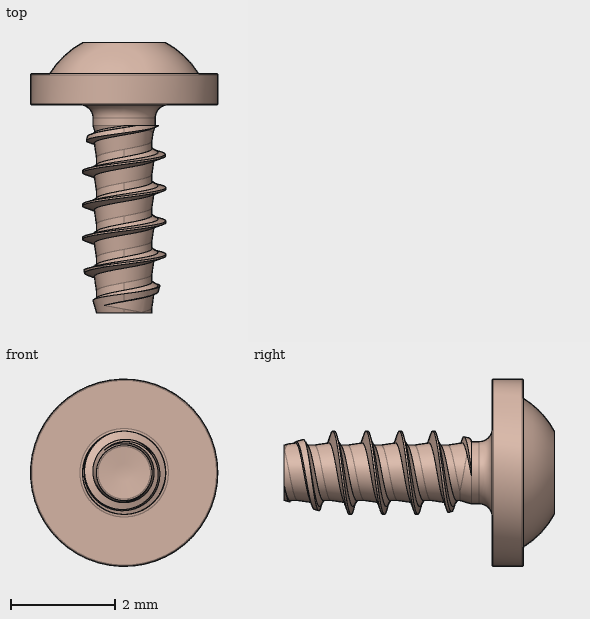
import cadquery as cq
import math


flange_radius = 1.8
flange_thickness = 0.6
flange_edge_radius = 0.025
head_height = 1.2
dome_base_radius = 1.43
dome_top_radius = 0.79

neck_radius = 0.6
neck_fillet = 0.25
neck_end = 0.4
neck_taper_end = 0.62

core_radius = 0.534
shank_length = 4.0
tip_dimple_radius = 0.505
tip_dimple_depth = 0.04

crest_radius = 0.8
envelope_start_radius = 0.66
run_in_end = 1.0
run_out_start = 3.1
envelope_tip_radius = 0.53

pitch = 0.64
first_crest_depth = 0.325
crest_half_width = 0.018
head_flank_knee_offset = 0.052
head_flank_knee_radius = 0.65
head_flank_foot_offset = 0.125
tip_flank_foot_offset = 0.092
tip_flank_foot_radius = 0.575
root_taper_end_offset = 0.39
root_taper_sink = 0.003
thread_sink = 0.05


def revolve_profile(profile):
    """Turn a closed (radius, depth) half section around the screw axis.

    The seam is set a quarter turn away from the thread's seam, so that the two never coincide.
    """
    turned = profile.close().revolve(360, (0, 0, 0), (0, 1, 0))
    return turned.rotate((0, 0, 0), (1, 0, 0), 90).rotate((0, 0, 0), (0, 0, 1), 90)


def make_head():
    """Round flange with softened edges, topped by a flattened spherical dome."""
    flange = cq.Workplane("XY").circle(flange_radius).extrude(-flange_thickness)
    flange = flange.edges().fillet(flange_edge_radius)

    dome_height = head_height - flange_thickness
    rim_difference = dome_base_radius**2 - dome_top_radius**2
    centre_height = flange_thickness + (dome_height**2 - rim_difference) / (2 * dome_height)
    sphere_radius = math.hypot(dome_base_radius, flange_thickness - centre_height)
    middle_height = flange_thickness + dome_height / 2
    middle_radius = math.sqrt(sphere_radius**2 - (middle_height - centre_height) ** 2)

    dome = revolve_profile(
        cq.Workplane("XY")
        .moveTo(0, 0)
        .lineTo(dome_base_radius, 0)
        .lineTo(dome_base_radius, -flange_thickness)
        .threePointArc((middle_radius, -middle_height), (dome_top_radius, -head_height))
        .lineTo(0, -head_height)
    )
    return flange.union(dome)


def make_core():
    """Filleted neck tapering into the plain core of the threaded shank."""
    fillet_rim = neck_radius + neck_fillet
    fillet_middle = neck_fillet * math.sqrt(0.5)
    embed = flange_thickness / 2
    return revolve_profile(
        cq.Workplane("XY")
        .moveTo(0, -embed)
        .lineTo(fillet_rim, -embed)
        .lineTo(fillet_rim, 0)
        .threePointArc((fillet_rim - fillet_middle, neck_fillet - fillet_middle), (neck_radius, neck_fillet))
        .lineTo(neck_radius, neck_end)
        .lineTo(core_radius, neck_taper_end)
        .lineTo(core_radius, shank_length)
        .lineTo(0, shank_length)
    )


def make_thread():
    """Helical thread, trimmed by a turned envelope to form the run-in and run-out."""
    start_depth = first_crest_depth - pitch
    helix_height = shank_length + pitch - start_depth
    sunk_radius = core_radius - thread_sink

    foot_run = head_flank_foot_offset - head_flank_knee_offset
    foot_rise = head_flank_knee_radius - core_radius
    sunk_foot_offset = head_flank_foot_offset + thread_sink * foot_run / foot_rise

    form = [
        (sunk_radius, -sunk_foot_offset),
        (head_flank_knee_radius, -head_flank_knee_offset),
        (crest_radius, -crest_half_width),
        (crest_radius, crest_half_width),
        (tip_flank_foot_radius, tip_flank_foot_offset),
        (core_radius - root_taper_sink, root_taper_end_offset),
        (sunk_radius, root_taper_end_offset),
    ]
    helix = cq.Wire.makeHelix(pitch, helix_height, core_radius)
    ridge = cq.Workplane("XZ").polyline(form).close().sweep(cq.Workplane(helix), isFrenet=True)
    ridge = ridge.translate((0, 0, start_depth))

    envelope = revolve_profile(
        cq.Workplane("XY")
        .moveTo(0, neck_end)
        .lineTo(envelope_start_radius, neck_end)
        .lineTo(crest_radius, run_in_end)
        .lineTo(crest_radius, run_out_start)
        .lineTo(envelope_tip_radius, shank_length)
        .lineTo(0, shank_length)
    )
    return ridge.intersect(envelope)


def make_tip_dimple():
    """Shallow cone sunk into the tip face."""
    return revolve_profile(
        cq.Workplane("XY")
        .moveTo(0, shank_length - tip_dimple_depth)
        .lineTo(tip_dimple_radius, shank_length)
        .lineTo(0, shank_length)
    )


screw = make_head().union(make_core()).union(make_thread()).cut(make_tip_dimple())
result = screw.rotate((0, 0, 0), (1, 0, 0), 90)